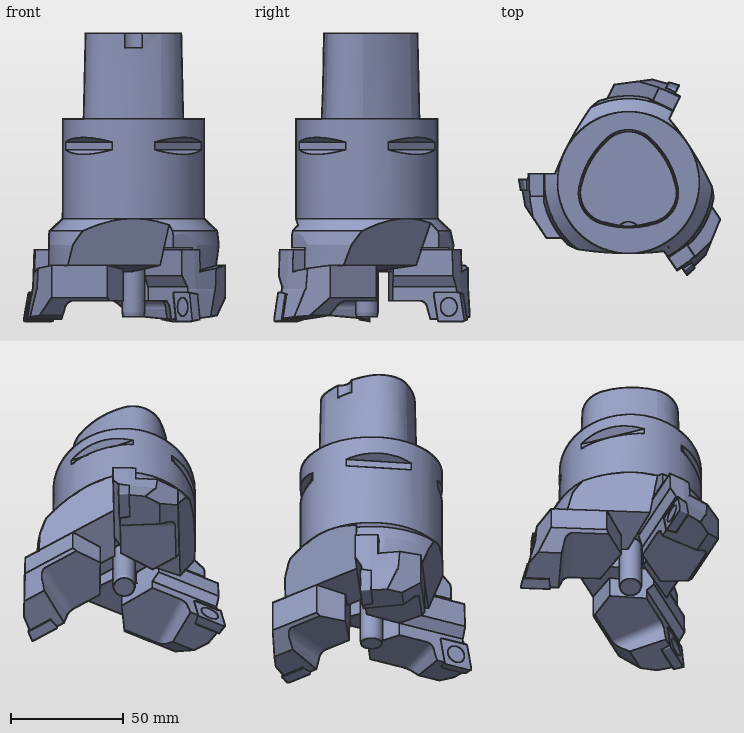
import cadquery as cq
import math


total_length = 128.0
shank_length = 38.0
flange_z = total_length - shank_length
neck_z = 45.7
shoulder_z = 40.2
rim_z = 34.0
hub_bottom_z = 21.9

flange_radius = 63.0 / 2
shoulder_radius = 37.2
rim_radius = 38.5
hub_bottom_radius = 38.0

shank_flat_radius = 20.1
shank_lobe_radius = 23.4
shank_flat_arc = 39.7
shank_taper = 1.3
key_notch_radius = 5.4
key_notch_depth = 1.8
key_notch_height = 6.4

grip_slot_floor = 27.9
grip_slot_floor_height = 3.3
grip_slot_mouth_height = 7.5
grip_slot_z = 78.0
grip_slot_angles = [45, 135, 225, 315]

post_radius = 10.0 / 2
post_bottom_z = 2.0
post_chamfer_length = 2.0
post_chamfer_width = 0.4

slide_angles = [180.0, 64.1, -56.0]
face_y = -4.0
lower_face_y = -1.2
face_step_top_z = 20.4
face_step_bottom_z = 15.4
bar_back_y = 6.1
bar_top_z = 31.9
slide_back_y = 24.7
slide_inner_x = 11.5
nose_x = 4.6
nose_back_angle = 60.0
nose_front_angle = 58.0
seat_front_z = 22.1
seat_back_z = 25.0
heel_z = 10.6
heel_y = 16.6
heel_bottom_z = 2.7
slide_front_bottom_z = 1.0

slide_top_x = 44.0
slide_upper_x = 44.7
slide_ledge_x = 44.9
slide_ledge_top_z = 14.5
slide_ledge_bottom_z = 13.7
slide_bottom_x = 47.4
slide_relief = 9.1
relief_start_y = 3.1
back_corner_x = 36.4
back_corner_outer_x = 46.0
back_corner_outer_y = 10.2

underside_z = 9.2
underside_fillet_start_x = 26.2
leg_fillet_end_x = 30.5
leg_fillet_end_z = 5.5
leg_bottom_x = 32.3

slot_top_z = 32.6
hub_end_flat_x = 37.5

insert_side = 13.2
insert_lean = 10.0
insert_tip_x = 48.9
insert_face_y = -1.4
insert_thickness = 4.7
insert_clearance = 10.0
insert_nose_radius = 0.9
screw_head_diameter = 8.2
screw_shank_diameter = 5.5
screw_head_depth = 1.8

REACH = 76.8


def place(shape, angle):
    """Turn a shape from the slide frame to its angle on the tool."""
    return shape.rotate((0, 0, 0), (0, 0, 1), angle)


def across(points, start_x, end_x):
    """Prism of a (y, z) outline running along X of the slide frame."""
    return cq.Workplane("YZ", origin=(start_x, 0, 0)).polyline(points).close().extrude(end_x - start_x)


def adapter_blank():
    """Turned flange, neck cone and hub, below the shank."""
    outline = [
        (0, hub_bottom_z),
        (hub_bottom_radius, hub_bottom_z),
        (rim_radius, rim_z),
        (shoulder_radius, shoulder_z),
        (flange_radius, neck_z),
        (flange_radius, flange_z),
        (0, flange_z),
    ]
    return cq.Workplane("XZ").polyline(outline).close().revolve(360, (0, 0), (0, 1))


def polar(radius, angle):
    """Point at a radius and an angle in degrees."""
    turn = math.radians(angle)
    return (radius * math.cos(turn), radius * math.sin(turn))


def shank():
    """Three-lobed tapered polygon of six tangent arcs, with a key notch at the top."""
    offset = shank_flat_arc - shank_flat_radius
    lobe_arc = (offset**2 + shank_lobe_radius**2 + offset * shank_lobe_radius - shank_flat_arc**2) / (
        2 * shank_lobe_radius + offset - 2 * shank_flat_arc
    )
    lobe_offset = shank_lobe_radius - lobe_arc
    half_angle = math.asin(lobe_offset * math.sin(math.radians(60)) / (shank_flat_arc - lobe_arc))
    joint_x = shank_flat_arc * math.sin(half_angle)
    joint_y = shank_flat_arc * math.cos(half_angle) - offset
    joint_radius = math.hypot(joint_x, joint_y)
    joint_angle = math.degrees(math.atan2(joint_x, joint_y))

    wire = cq.Workplane("XY", origin=(0, 0, flange_z)).moveTo(*polar(joint_radius, -90 - joint_angle))
    for flat_angle in (-90, 30, 150):
        wire = wire.threePointArc(
            polar(shank_flat_radius, flat_angle), polar(joint_radius, flat_angle + joint_angle)
        )
        wire = wire.threePointArc(
            polar(shank_lobe_radius, flat_angle + 60), polar(joint_radius, flat_angle + 120 - joint_angle)
        )
    body = wire.close().extrude(shank_length, taper=shank_taper)

    flat_at_top = shank_flat_radius - shank_length * math.tan(math.radians(shank_taper))
    notch = (
        cq.Workplane("XY", origin=(0, 0, total_length - key_notch_height))
        .center(0, -flat_at_top + key_notch_depth - key_notch_radius)
        .circle(key_notch_radius)
        .extrude(key_notch_height)
    )
    return body.cut(notch)


def grip_slot(angle):
    """Straight slot across the flange, widening from its floor to its mouth."""
    half_floor = grip_slot_floor_height / 2
    half_mouth = grip_slot_mouth_height / 2
    outline = [
        (grip_slot_floor, grip_slot_z - half_floor),
        (flange_radius, grip_slot_z - half_mouth),
        (flange_radius, grip_slot_z + half_mouth),
        (grip_slot_floor, grip_slot_z + half_floor),
    ]
    slot = cq.Workplane("XZ").polyline(outline).close().extrude(flange_radius, both=True)
    return place(slot, angle)


def gullet(angle, next_angle):
    """Chip space behind one slide: a sloping flat and a sloping seat, ended by the next slide's face."""
    flat_slope = (flange_radius - slide_back_y) / (neck_z - seat_back_z)
    seat_slope = (seat_back_z - seat_front_z) / (slide_back_y - bar_back_y)
    outline = [
        (face_y, seat_front_z - seat_slope * (bar_back_y - face_y)),
        (slide_back_y, seat_back_z),
        (slide_back_y + flat_slope * (flange_z - seat_back_z), flange_z),
        (REACH, flange_z),
        (REACH, 0),
        (face_y, 0),
    ]
    behind_slide = place(across(outline, -REACH, REACH), angle)
    ahead_of_next = cq.Workplane("XY").box(2 * REACH, REACH, flange_z, centered=(True, False, False))
    ahead_of_next = place(ahead_of_next.translate((0, face_y - REACH, 0)), next_angle)
    return behind_slide.intersect(ahead_of_next)


def slide_slot(angle):
    """Radial slot for the slide's bar and the flat that clears the bar's outer end."""
    bar_slot = across(
        [(face_y, 0), (bar_back_y, 0), (bar_back_y, slot_top_z), (face_y, slot_top_z)], 0, REACH
    )
    end_flat = across(
        [(face_y, 0), (slide_back_y, 0), (slide_back_y, neck_z), (face_y, neck_z)], hub_end_flat_x, REACH
    )
    return place(bar_slot.union(end_flat), angle)


def coolant_post():
    """Central post with a slightly tapered tip, rooted where the slide slots meet."""
    outline = [
        (0, post_bottom_z),
        (post_radius - post_chamfer_width, post_bottom_z),
        (post_radius, post_bottom_z + post_chamfer_length),
        (post_radius, slot_top_z),
        (0, slot_top_z),
    ]
    return cq.Workplane("XZ").polyline(outline).close().revolve(360, (0, 0), (0, 1))


def make_adapter():
    adapter = adapter_blank()
    for index, angle in enumerate(slide_angles):
        adapter = adapter.cut(gullet(angle, slide_angles[index - 1]))
        adapter = adapter.cut(slide_slot(angle))
    for angle in grip_slot_angles:
        adapter = adapter.cut(grip_slot(angle))
    return adapter.union(shank()).union(coolant_post())


lean_run = insert_side * math.sin(math.radians(insert_lean))
insert_height = insert_side * math.cos(math.radians(insert_lean))
screw_x = insert_tip_x - (insert_side + lean_run) / 2
screw_z = insert_height / 2


def insert_blank():
    """Rhombic insert block, tapering toward its seat."""
    outline = [
        (insert_tip_x, 0),
        (insert_tip_x - lean_run, insert_height),
        (insert_tip_x - lean_run - insert_side, insert_height),
        (insert_tip_x - insert_side, 0),
    ]
    face = cq.Sketch().polygon(outline + outline[:1]).vertices().fillet(insert_nose_radius)
    return (
        cq.Workplane("XZ", origin=(0, insert_face_y, 0))
        .placeSketch(face)
        .extrude(-insert_thickness, taper=insert_clearance)
    )


def insert_screw():
    """Countersunk screw whose head is flush with the insert face."""
    seat_y = insert_face_y + insert_thickness
    head_end_y = insert_face_y + screw_head_depth
    outline = [
        (0, insert_face_y),
        (screw_head_diameter / 2, insert_face_y),
        (screw_shank_diameter / 2, head_end_y),
        (screw_shank_diameter / 2, seat_y),
        (0, seat_y),
    ]
    screw = cq.Workplane("XY").polyline(outline).close().revolve(360, (0, 0), (0, 1))
    return screw.translate((screw_x, 0, screw_z))


def make_insert(angle):
    return place(insert_blank().cut(insert_screw()), angle)


def slide_plan():
    """Prism over the slide's plan: a pointed inner nose and a chamfered outer back corner."""
    nose_y = slide_back_y - (slide_inner_x - nose_x) * math.tan(math.radians(nose_back_angle))
    front_x = nose_x + (nose_y - face_y) / math.tan(math.radians(nose_front_angle))
    corner_slope = (back_corner_outer_x - back_corner_x) / (slide_back_y - back_corner_outer_y)
    corner_front_x = back_corner_x + corner_slope * (slide_back_y - face_y)
    plan = [
        (front_x, face_y),
        (corner_front_x, face_y),
        (back_corner_x, slide_back_y),
        (slide_inner_x, slide_back_y),
        (nose_x, nose_y),
    ]
    return cq.Workplane("XY").polyline(plan).close().extrude(flange_z)


def outer_envelope():
    """Everything inside the slide's outer face, relieved behind the insert, and over its plan."""
    outline = [
        (0, 0),
        (slide_bottom_x, 0),
        (slide_ledge_x, slide_ledge_bottom_z),
        (slide_upper_x, slide_ledge_top_z),
        (slide_top_x, bar_top_z),
        (0, bar_top_z),
    ]
    front = cq.Workplane("XZ").polyline(outline).close().extrude(REACH, both=True)
    pivot = (slide_upper_x, relief_start_y)
    relieved = front.rotate((*pivot, 0), (*pivot, 1), slide_relief)
    return front.intersect(relieved).intersect(slide_plan())


def underside_relief():
    """Space under the slide, rounded into the leg that carries the insert."""
    middle = math.radians(45)
    run = leg_fillet_end_x - underside_fillet_start_x
    rise = underside_z - leg_fillet_end_z
    middle_point = (
        underside_fillet_start_x + run * math.sin(middle),
        underside_z - rise * (1 - math.cos(middle)),
    )
    return (
        cq.Workplane("XZ")
        .moveTo(0, 0)
        .lineTo(0, underside_z)
        .lineTo(underside_fillet_start_x, underside_z)
        .threePointArc(middle_point, (leg_fillet_end_x, leg_fillet_end_z))
        .lineTo(leg_bottom_x, 0)
        .close()
        .extrude(REACH, both=True)
    )


def make_slide(angle):
    """Slide with its insert seat and the screw that fills the insert's hole."""
    outline = [
        (face_y, bar_top_z),
        (face_y, face_step_top_z),
        (lower_face_y, face_step_bottom_z),
        (lower_face_y, slide_front_bottom_z),
        (heel_y, heel_bottom_z),
        (slide_back_y, heel_z),
        (slide_back_y, seat_back_z),
        (bar_back_y, seat_front_z),
        (bar_back_y, bar_top_z),
    ]
    slide = across(outline, 0, REACH).intersect(outer_envelope())
    slide = slide.cut(underside_relief())
    slide = slide.cut(insert_blank()).union(insert_screw())
    return place(slide, angle)


adapter = make_adapter()
slides = [make_slide(angle) for angle in slide_angles]
inserts = [make_insert(angle) for angle in slide_angles]

result = cq.Compound.makeCompound(
    [adapter.val(), *[slide.val() for slide in slides], *[insert.val() for insert in inserts]]
)